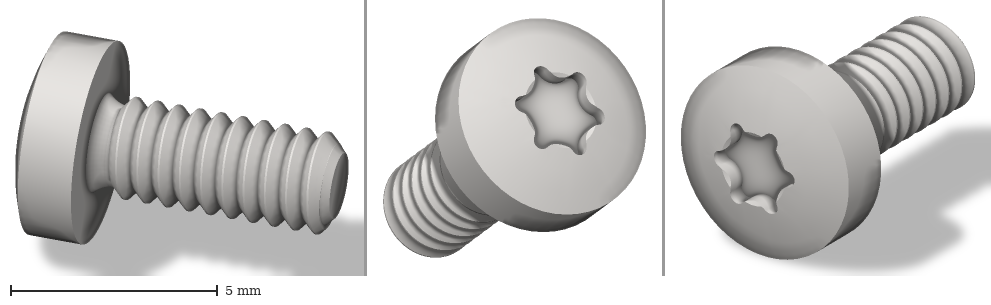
import cadquery as cq
import math

length = 7.83

head_radius = 5.0 / 2
crown_height = 0.48
head_end = 1.82

core_radius = 1.0
neck_end = 2.215
neck_head_radius = 1.23
neck_arc_radius = 0.78
tip_chamfer = 0.19
thread_end = length - tip_chamfer

thread_radius = 1.25
ring_count = 10
first_ring = 2.59
last_ring = 7.415
pitch = (last_ring - first_ring) / (ring_count - 1)
crest_width = 0.05
ring_foot_depth = 0.31
mean_diameter = thread_radius + core_radius
ring_tilt = math.degrees(math.atan(pitch / (math.pi * mean_diameter)))

lobe_tip_radius = 1.2
lobe_round = 0.21
valley_radius = 0.86
lobe_count = 6
recess_floor = 0.5
lead_in_radius = 0.96
lead_in_angle = 30.0
lead_in_depth = (lead_in_radius - valley_radius) * math.tan(math.radians(lead_in_angle))

tool_start = -crown_height

crown_centre = (crown_height**2 + head_radius**2 - lead_in_radius**2) / (2 * crown_height)
crown_radius = math.hypot(crown_centre, lead_in_radius)

AXIS_START = (0, 0, 0)
AXIS_END = (1, 0, 0)


def crown_x(radius):
    """Axial position of the spherical crown at a given distance from the axis."""
    return crown_centre - math.sqrt(crown_radius**2 - radius**2)


def make_body():
    """Head, neck and chamfered core as one turned profile."""
    return (
        cq.Workplane("XY")
        .moveTo(crown_x(0), 0)
        .threePointArc((crown_x(head_radius / 2), head_radius / 2), (crown_height, head_radius))
        .lineTo(head_end, head_radius)
        .lineTo(head_end, neck_head_radius)
        .radiusArc((neck_end, core_radius), -neck_arc_radius)
        .lineTo(thread_end, core_radius)
        .lineTo(length, core_radius - tip_chamfer)
        .lineTo(length, 0)
        .close()
        .revolve(360, AXIS_START, AXIS_END)
    )


def make_thread_ring(centre):
    """One V-shaped ring around the core; its top leans towards the head."""
    half_crest = crest_width / 2
    half_foot = half_crest + ring_foot_depth
    foot_radius = thread_radius - ring_foot_depth
    return (
        cq.Workplane("XZ")
        .polyline([
            (-half_foot, foot_radius),
            (-half_crest, thread_radius),
            (half_crest, thread_radius),
            (half_foot, foot_radius),
        ])
        .close()
        .revolve(360, AXIS_START, AXIS_END)
        .rotate((0, 0, 0), (0, 1, 0), -ring_tilt)
        .translate((centre, 0, 0))
    )


def add_thread(body):
    """Join the rings to the core and cut them off square where the tip chamfer begins."""
    end_trim = (
        cq.Workplane("YZ", origin=(thread_end, 0, 0))
        .circle(2 * thread_radius)
        .extrude(-(thread_end - head_end))
    )
    for index in range(ring_count):
        ring = make_thread_ring(first_ring + index * pitch)
        body = body.union(ring.intersect(end_trim))
    return body


def polar(radius, angle):
    """Point in the plane of the recess outline, with the angle in radians."""
    return (radius * math.cos(angle), radius * math.sin(angle))


def make_recess():
    """Six-lobe socket: convex lobe arcs tangent to the valley arcs between them."""
    half_step = math.pi / lobe_count
    lobe_centre = lobe_tip_radius - lobe_round
    cosine = math.cos(half_step)
    valley_round = (
        lobe_centre**2 + valley_radius**2 - 2 * lobe_centre * valley_radius * cosine - lobe_round**2
    ) / (2 * (lobe_round - valley_radius + lobe_centre * cosine))

    valley_x, valley_y = polar(valley_radius + valley_round, half_step)
    share = lobe_round / (lobe_round + valley_round)
    tangent_x = lobe_centre + share * (valley_x - lobe_centre)
    tangent_y = share * valley_y
    tangent_radius = math.hypot(tangent_x, tangent_y)
    tangent_angle = math.atan2(tangent_y, tangent_x)

    outline = cq.Workplane("YZ", origin=(tool_start, 0, 0)).moveTo(*polar(tangent_radius, -tangent_angle))
    for index in range(lobe_count):
        lobe_angle = 2 * half_step * index
        next_lobe_angle = lobe_angle + 2 * half_step
        outline = outline.threePointArc(
            polar(lobe_tip_radius, lobe_angle),
            polar(tangent_radius, lobe_angle + tangent_angle),
        ).threePointArc(
            polar(valley_radius, lobe_angle + half_step),
            polar(tangent_radius, next_lobe_angle - tangent_angle),
        )
    return outline.close().extrude(recess_floor - tool_start)


def make_lead_in():
    """Conical lead-in that bevels the valley edges of the socket mouth."""
    return (
        cq.Workplane("XY")
        .moveTo(tool_start, 0)
        .lineTo(tool_start, lead_in_radius)
        .lineTo(0, lead_in_radius)
        .lineTo(lead_in_depth, valley_radius)
        .lineTo(lead_in_depth, 0)
        .close()
        .revolve(360, AXIS_START, AXIS_END)
    )


result = add_thread(make_body()).cut(make_recess()).cut(make_lead_in())